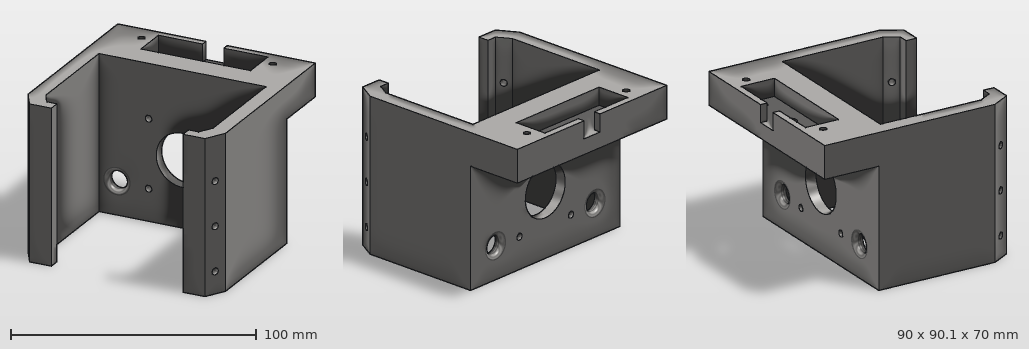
import cadquery as cq
import math

width = 90.0
depth = 90.1
height = 70.0
half_width = width / 2

side_wall = 6.9
plate = 5.0
head_depth = 25.85
back_plate_rear = depth - head_depth
back_plate_front = back_plate_rear - plate
inner_half = half_width - side_wall
lip_half_gap = 30.0
bevel_angle = math.radians(30)
outer_bevel_length = 8.7
outer_bevel_width = outer_bevel_length * math.tan(bevel_angle)
inner_bevel_length = 6.0
inner_bevel_width = inner_bevel_length * math.tan(bevel_angle)

head_height = 14.95
pocket_width = 49.9
pocket_length = 15.85
pocket_depth = 8.0
pocket_rear_wall = 3.15
pocket_y = depth - pocket_rear_wall - pocket_length / 2
slot_width = 9.6

screw_diameter = 3.0
head_bore_diameter = 6.0
pocket_screw_x = 20.0
head_screw_x = 29.9
head_screw_y = depth - 8.6
motor_bore_diameter = 24.0
motor_z = 30.0
motor_screw_offset = 15.5
cable_hole_diameter = 8.0
cable_hole_x = 29.9
cable_hole_z = 15.0
cable_round = 2.0
bevel_screw_pitch = 20.0
bevel_screw_length = 9.9


def channel():
    """Extruded U with inturned, bevelled lips."""
    right_side = [
        (half_width, back_plate_rear),
        (half_width, outer_bevel_length),
        (half_width - outer_bevel_width, 0),
        (lip_half_gap, 0),
        (lip_half_gap, plate),
        (inner_half - inner_bevel_width, plate),
        (inner_half, plate + inner_bevel_length),
        (inner_half, back_plate_front),
    ]
    left_side = [(-x, y) for x, y in reversed(right_side)]
    return cq.Workplane("XY").polyline(right_side + left_side).close().extrude(height)


def head():
    """Block behind the top of the back plate, with an open-backed pocket and vertical holes."""
    floor_z = height - pocket_depth
    block = cq.Workplane("XY", origin=(0, depth - head_depth / 2, height - head_height)).box(
        width, head_depth, head_height, centered=(True, True, False))
    pocket = cq.Workplane("XY", origin=(0, pocket_y, floor_z)).box(
        pocket_width, pocket_length, pocket_depth, centered=(True, True, False))
    slot = cq.Workplane("XY", origin=(0, pocket_y, floor_z)).box(
        slot_width, depth - pocket_y, pocket_depth, centered=(True, False, False))
    screw_points = [(side * pocket_screw_x, pocket_y) for side in (-1, 1)]
    screw_points += [(side * head_screw_x, head_screw_y) for side in (-1, 1)]
    screws = cq.Workplane("XY").pushPoints(screw_points).circle(screw_diameter / 2).extrude(height)
    bore = cq.Workplane("XY").center(0, pocket_y).circle(head_bore_diameter / 2).extrude(height)
    return block.cut(pocket).cut(slot).cut(screws).cut(bore)


def back_plate_hole(x, z, diameter):
    """Cylinder along Y through the back plate."""
    return (cq.Workplane("XZ", origin=(x, back_plate_rear, z))
            .circle(diameter / 2).extrude(plate))


def cable_hole(x):
    """Hole through the back plate, with the rims on both of its faces rounded outward."""
    radius = cable_hole_diameter / 2
    mouth_radius = radius + cable_round
    arc_middle_radius = mouth_radius - cable_round * math.cos(math.pi / 4)
    arc_middle_setback = cable_round - cable_round * math.sin(math.pi / 4)
    return (cq.Workplane("XY")
            .moveTo(0, back_plate_rear)
            .lineTo(mouth_radius, back_plate_rear)
            .threePointArc((arc_middle_radius, back_plate_rear - arc_middle_setback),
                           (radius, back_plate_rear - cable_round))
            .lineTo(radius, back_plate_front + cable_round)
            .threePointArc((arc_middle_radius, back_plate_front + arc_middle_setback),
                           (mouth_radius, back_plate_front))
            .lineTo(0, back_plate_front)
            .close()
            .revolve(360, (0, 0, 0), (0, 1, 0))
            .translate((x, 0, cable_hole_z)))


def bevel_screw(side, z):
    """Hole drilled square through a bevelled wall, from the middle of its outer bevel."""
    middle = cq.Vector(side * (half_width - outer_bevel_width / 2), outer_bevel_length / 2, z)
    inward = cq.Vector(-side * math.cos(bevel_angle), math.sin(bevel_angle), 0)
    return cq.Workplane(cq.Solid.makeCylinder(screw_diameter / 2, bevel_screw_length, middle, inward))


result = channel().union(head())

result = result.cut(back_plate_hole(0, motor_z, motor_bore_diameter))
for side in (-1, 1):
    result = result.cut(cable_hole(side * cable_hole_x))
    for level in (-1, 1):
        screw_z = motor_z + level * motor_screw_offset
        result = result.cut(back_plate_hole(side * motor_screw_offset, screw_z, screw_diameter))
    for step in (-1, 0, 1):
        result = result.cut(bevel_screw(side, motor_z + step * bevel_screw_pitch))